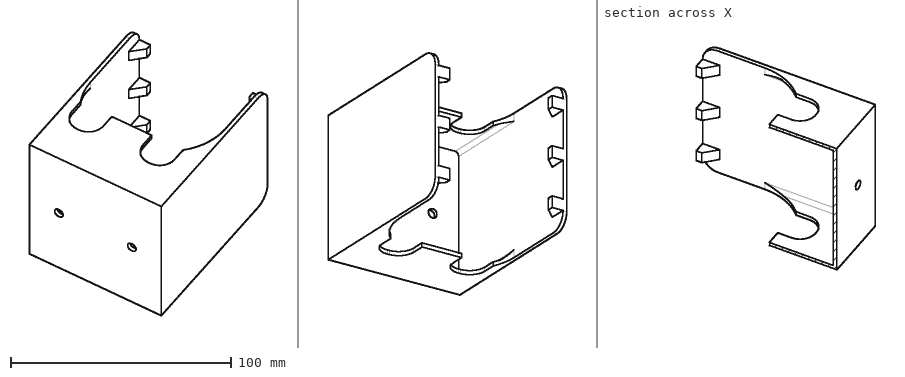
import cadquery as cq
import math

WIDTH = 71.5
DEPTH = 89.0
HEIGHT = 72.0

WALL = 2.05
INNER_FILLET = 2.0
BACK_CORNER_RADIUS = 8.0

PLATE_DEPTH = 35.15
SWEEP_RADIUS = 30.0
SLOT_WIDTH = 17.0
SLOT_DEPTH = 15.1
SLOT_CORNER_RADIUS = 8.0
SLOT_SPACING = 38.5
SLOT_PAIR_X = -3.0

HOLE_DIAMETER = 4.5
HOLE_SPACING = 39.4

TAB_REACH = 6.0
TAB_NOSE = 3.0
TAB_LENGTH = TAB_NOSE + TAB_REACH
TAB_HEIGHT = 5.8
TAB_PITCH = 25.0

FRONT_Y = -DEPTH / 2
BACK_Y = DEPTH / 2
INNER_X = WIDTH / 2 - WALL
PLATE_EDGE_Y = FRONT_Y + PLATE_DEPTH
SLOT_CENTRES_X = [SLOT_PAIR_X - SLOT_SPACING / 2, SLOT_PAIR_X + SLOT_SPACING / 2]


def make_shell():
    """Box with rounded back corners, hollowed from the open back."""
    block = cq.Workplane("XY").box(WIDTH, DEPTH, HEIGHT)
    block = block.edges("|X and >Y").fillet(BACK_CORNER_RADIUS)
    cavity = (
        cq.Workplane("XY")
        .box(2 * INNER_X, DEPTH, HEIGHT - 2 * WALL)
        .edges("|Y")
        .fillet(INNER_FILLET)
        .translate((0, WALL, 0))
    )
    return block.cut(cavity)


def sweep_points(side, corner_x):
    """Start and middle of an arc that leaves a side wall tangentially and ends at a plate corner."""
    angle = math.acos(1 - (INNER_X - abs(corner_x)) / SWEEP_RADIUS)
    centre_x = side * (INNER_X - SWEEP_RADIUS)
    centre_y = PLATE_EDGE_Y + SWEEP_RADIUS * math.sin(angle)
    middle = (
        centre_x + side * SWEEP_RADIUS * math.cos(angle / 2),
        centre_y - SWEEP_RADIUS * math.sin(angle / 2),
    )
    return (side * INNER_X, centre_y), middle


def make_opening():
    """Cutter for the gap between the side walls and for the two slots with rounded ends."""
    left_corner_x = SLOT_CENTRES_X[0] - SLOT_WIDTH / 2
    right_corner_x = SLOT_CENTRES_X[1] + SLOT_WIDTH / 2
    left_start, left_middle = sweep_points(-1, left_corner_x)
    right_start, right_middle = sweep_points(1, right_corner_x)
    opening = (
        cq.Workplane("XY")
        .moveTo(-INNER_X, BACK_Y)
        .lineTo(*left_start)
        .threePointArc(left_middle, (left_corner_x, PLATE_EDGE_Y))
        .lineTo(right_corner_x, PLATE_EDGE_Y)
        .threePointArc(right_middle, right_start)
        .lineTo(INNER_X, BACK_Y)
        .close()
        .extrude(HEIGHT / 2, both=True)
    )
    for x in SLOT_CENTRES_X:
        slot = (
            cq.Workplane("XY")
            .center(x, PLATE_EDGE_Y)
            .rect(SLOT_WIDTH, 2 * SLOT_DEPTH)
            .extrude(HEIGHT / 2, both=True)
            .edges("|Z and <Y")
            .fillet(SLOT_CORNER_RADIUS)
        )
        opening = opening.union(slot)
    return opening


def make_screw_holes():
    """Cutter for the two holes through the front wall."""
    return (
        cq.Workplane("XZ", origin=(0, FRONT_Y, 0))
        .pushPoints([(-HOLE_SPACING / 2, 0), (HOLE_SPACING / 2, 0)])
        .circle(HOLE_DIAMETER / 2)
        .extrude(-WALL)
    )


def make_tab(side, z):
    """Snap tab on one side wall, centred at height z."""
    nose_x = side * (INNER_X - TAB_REACH)
    root_x = side * WIDTH / 2
    return (
        cq.Workplane("XY", origin=(0, 0, z))
        .moveTo(root_x, BACK_Y)
        .lineTo(nose_x, BACK_Y)
        .lineTo(nose_x, BACK_Y - TAB_NOSE)
        .lineTo(side * INNER_X, BACK_Y - TAB_LENGTH)
        .lineTo(root_x, BACK_Y - TAB_LENGTH)
        .close()
        .extrude(TAB_HEIGHT / 2, both=True)
    )


result = make_shell().cut(make_opening()).cut(make_screw_holes())
for side in (-1, 1):
    for z in (-TAB_PITCH, 0, TAB_PITCH):
        result = result.union(make_tab(side, z))